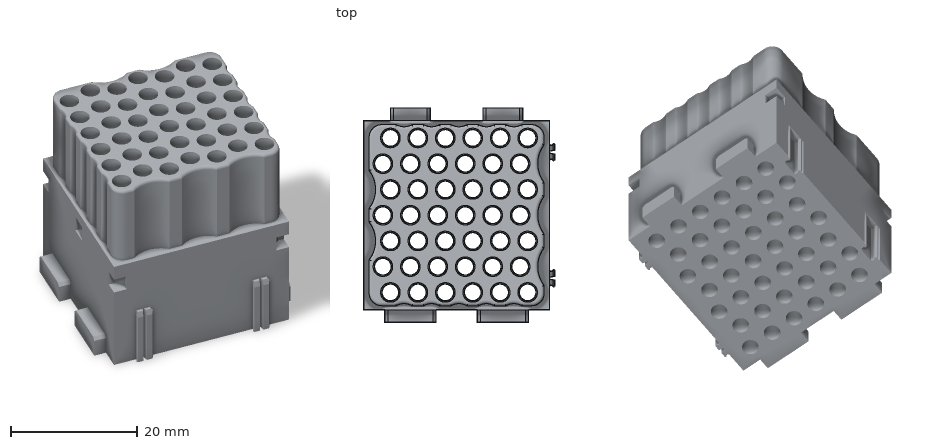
import cadquery as cq

overall_width = 30.3
overall_depth = 34.0
overall_height = 34.1
hook_reach = 0.82
base_width = overall_width - hook_reach
base_depth = 30.0
base_height = 20.0

tower_width = 27.75
tower_depth = 28.7
tower_corner_radius = 2.0
tower_edge_fillet = 0.5
wide_scallop_chord = 6.0
wide_scallop_depth = 1.02
small_scallop_chord = 2.52
small_scallop_depth = 0.35

row_count = 7
column_count = 6
hole_span_y = 24.5
row_pitch = hole_span_y / (row_count - 1)
hole_span_x = 21.75
column_pitch = hole_span_x / (column_count - 1)
aligned_row_center = 0.38
shifted_row_center = -0.82
contact_diameter = 3.1
lower_hole_diameter = 2.63

foot_reach = (overall_depth - base_depth) / 2
foot_offset = 7.33
foot_height = 3.5
foot_chamfer = 0.5
front_foot_width = 8.15
back_foot_width = 6.35

clip_offset = 10.0
clip_height = 10.0
hook_tip_bevel = 0.3
hook_tip_bevel_height = 0.92
hook_neck = 1.13
hook_barb = 1.4
prong_gap = 0.15
prong_root = 0.17
prong_profile = [
    (-prong_root, prong_gap),
    (-prong_root, 1.25),
    (0, 1.25),
    (0.15, hook_neck),
    (0.4, hook_neck),
    (0.6, hook_barb),
    (hook_reach, 1.23),
    (hook_reach, 0.3),
    (0, prong_gap),
]
socket_profile = [(0, hook_barb), (0.38, hook_neck), (0.6, hook_barb), (1.05, hook_barb), (1.2, 1.25)]
relief_profile = [(0, 1.57), (0.2, 1.8), (0, 2.0)]

corner_notch_size = 2.18
corner_notch_wall = 1.0
corner_notch_bottom = 14.8
corner_notch_height = 2.63
latch_slot_width = 2.65
latch_slot_bottom = 15.4
latch_slot_height = 2.75
latch_slot_wall = 0.68
latch_slot_taper = 1.05


def scallop_cutter(x, y, inward, chord, depth):
    """Upright cylinder that cuts a shallow arc into a tower side at (x, y)."""
    radius = ((chord / 2) ** 2 + depth**2) / (2 * depth)
    center_x = x + inward[0] * (depth - radius)
    center_y = y + inward[1] * (depth - radius)
    return cq.Workplane("XY").center(center_x, center_y).circle(radius).extrude(overall_height)


def row_positions(row):
    """Hole centres of one row; row 0 is at the -Y end."""
    y = row * row_pitch - hole_span_y / 2
    center = aligned_row_center if row % 2 == 0 else shifted_row_center
    first = center - hole_span_x / 2
    return [(first + column * column_pitch, y) for column in range(column_count)]


def make_tower():
    tower = (
        cq.Workplane("XY")
        .rect(tower_width, tower_depth)
        .extrude(overall_height)
        .edges("|Z")
        .fillet(tower_corner_radius)
    )
    wide_scallops = [(-1, (-1, 1)), (1, (-2, 0, 2))]
    for side, rows in wide_scallops:
        for row in rows:
            tower = tower.cut(
                scallop_cutter(
                    side * tower_width / 2,
                    row * row_pitch,
                    (-side, 0),
                    wide_scallop_chord,
                    wide_scallop_depth,
                )
            )
    for side in (-1, 1):
        for x, _ in row_positions(0)[:-1]:
            tower = tower.cut(
                scallop_cutter(
                    x + column_pitch / 2,
                    side * tower_depth / 2,
                    (0, -side),
                    small_scallop_chord,
                    small_scallop_depth,
                )
            )
    return tower.faces(">Z").edges().fillet(tower_edge_fillet)


def make_foot(x, side, width):
    foot = (
        cq.Workplane("XY")
        .box(width, foot_reach, foot_height, centered=(True, True, False))
        .edges("|Y and >Z")
        .chamfer(foot_chamfer)
    )
    return foot.translate((x, side * (base_depth + foot_reach) / 2, 0))


def make_hook_pair():
    """Two barbed prongs on the +X face, centred on Y = 0."""
    face_x = base_width / 2
    outline = [(face_x + out, y) for out, y in prong_profile]
    upper = cq.Workplane("XY").polyline(outline).close().extrude(clip_height)
    pair = upper.union(upper.mirror("XZ"))
    tip_x = face_x + hook_reach
    bevel = (
        cq.Workplane("XZ")
        .moveTo(tip_x, clip_height)
        .lineTo(tip_x - hook_tip_bevel, clip_height)
        .lineTo(tip_x, clip_height - hook_tip_bevel_height)
        .close()
        .extrude(base_depth / 2, both=True)
    )
    return pair.cut(bevel)


def make_socket():
    """Cutter for one hook socket in the -X face, centred on Y = 0."""
    face_x = -base_width / 2
    upper = [(face_x + depth, y) for depth, y in socket_profile]
    lower = [(x, -y) for x, y in reversed(upper)]
    socket = cq.Workplane("XY").polyline(upper + lower).close().extrude(clip_height)
    for side in (-1, 1):
        outline = [(face_x + depth, side * y) for depth, y in relief_profile]
        socket = socket.union(cq.Workplane("XY").polyline(outline).close().extrude(clip_height))
    return socket


def make_corner_notch():
    """Cutter for the (-X, -Y) corner of the base."""
    outline = [
        (0, 0),
        (corner_notch_size, 0),
        (corner_notch_size, corner_notch_wall),
        (corner_notch_wall, corner_notch_size),
        (0, corner_notch_size),
    ]
    notch = cq.Workplane("XY").polyline(outline).close().extrude(corner_notch_height)
    return notch.translate((-base_width / 2, -base_depth / 2, corner_notch_bottom))


def make_latch_slot():
    """Cutter for the tapered pocket in the middle of the -Y face."""
    half_mouth = latch_slot_width / 2
    half_back = half_mouth - latch_slot_taper
    back = latch_slot_wall + latch_slot_taper
    outline = [
        (-half_mouth, 0),
        (half_mouth, 0),
        (half_mouth, latch_slot_wall),
        (half_back, back),
        (-half_back, back),
        (-half_mouth, latch_slot_wall),
    ]
    slot = cq.Workplane("XY").polyline(outline).close().extrude(latch_slot_height)
    return slot.translate((0, -base_depth / 2, latch_slot_bottom))


result = cq.Workplane("XY").box(base_width, base_depth, base_height, centered=(True, True, False))
result = result.union(make_tower())

for x in (-foot_offset, foot_offset):
    result = result.union(make_foot(x, -1, front_foot_width))
    result = result.union(make_foot(x, 1, back_foot_width))

for y in (-clip_offset, clip_offset):
    result = result.union(make_hook_pair().translate((0, y, 0)))
    result = result.cut(make_socket().translate((0, y, 0)))

corner_notch = make_corner_notch()
for notch in (corner_notch, corner_notch.mirror("YZ")):
    result = result.cut(notch).cut(notch.mirror("XZ"))
result = result.cut(make_latch_slot())

hole_positions = [point for row in range(row_count) for point in row_positions(row)]
lower_holes = cq.Workplane("XY").pushPoints(hole_positions).circle(lower_hole_diameter / 2)
contact_holes = (
    cq.Workplane("XY", origin=(0, 0, base_height))
    .pushPoints(hole_positions)
    .circle(contact_diameter / 2)
)
result = result.cut(lower_holes.extrude(overall_height)).cut(contact_holes.extrude(overall_height - base_height))